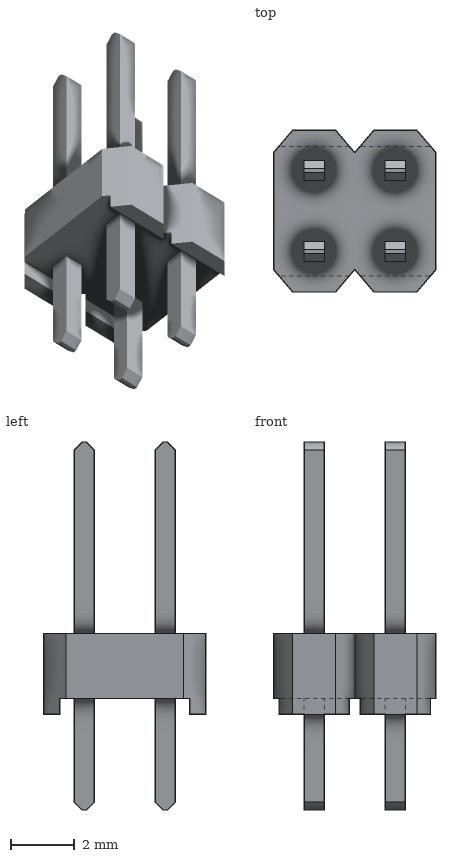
import cadquery as cq

columns = 2
rows = 2

total_height = 11.54
pin_pitch = 2.54
pin_width = 0.63
tip_bevel = 0.25
tail_length = 3.0

body_length = 5.09
body_width = rows * pin_pitch
body_height = 2.54
cell_length = body_length / columns
corner_x = 0.6
corner_y = 0.7
foot_depth = 0.51
foot_height = 0.5


def cell(center_x):
    """One housing cell: a block with its four upright edges cut at a slant."""
    half_length = cell_length / 2
    half_width = body_width / 2
    outline = [
        (-half_length, -half_width + corner_y),
        (-half_length + corner_x, -half_width),
        (half_length - corner_x, -half_width),
        (half_length, -half_width + corner_y),
        (half_length, half_width - corner_y),
        (half_length - corner_x, half_width),
        (-half_length + corner_x, half_width),
        (-half_length, half_width - corner_y),
    ]
    block = cq.Workplane("XY").polyline(outline).close().extrude(body_height)
    return block.translate((center_x, 0, tail_length))


def underside_channel():
    """Channel along X under the housing that leaves only the feet at its Y ends."""
    channel_width = body_width - 2 * foot_depth
    channel = cq.Workplane("XY").box(body_length, channel_width, foot_height, centered=(True, True, False))
    return channel.translate((0, 0, tail_length))


def pin(center_x, center_y):
    """Square pin, bevelled at both ends on its two Y sides."""
    bar = cq.Workplane("XY").box(pin_width, pin_width, total_height, centered=(True, True, False))
    bar = bar.faces("<Z or >Z").edges("|X").chamfer(tip_bevel)
    return bar.translate((center_x, center_y, 0))


def centred_positions(count, spacing):
    return [(index - (count - 1) / 2) * spacing for index in range(count)]


housing = cq.Workplane("XY")
for cell_x in centred_positions(columns, cell_length):
    housing = housing.union(cell(cell_x))

result = housing.cut(underside_channel())
for pin_x in centred_positions(columns, pin_pitch):
    for pin_y in centred_positions(rows, pin_pitch):
        result = result.union(pin(pin_x, pin_y))